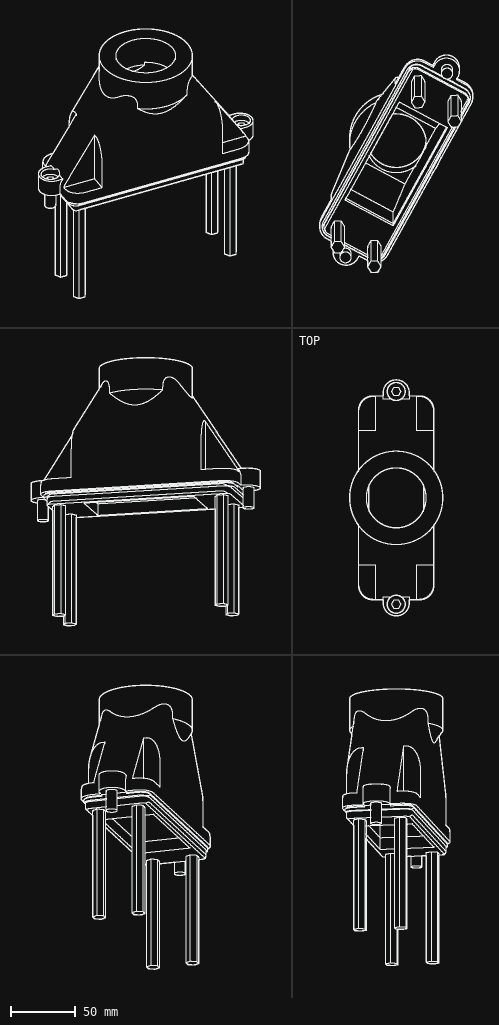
import cadquery as cq
import math

SIDES = (-1, 1)

total_height = 195.0
collar_base_z = 170.0
cavity_roof_z = 172.5
ledge_z = 105.1
lug_top_z = 108.8
housing_base_z = 95.4
bead_widest_z = 93.5
bead_base_z = 91.8
frame_base_z = 86.2
screw_tip_z = 79.5

overall_length = 182.0

housing_half_x = 29.0
housing_half_y = 78.5
edge_radius = 11.1
collar_diameter = 72.0
bore_radius = 23.0
neck_taper = 0.65
wall = 8.0
pocket_inner_x = 15.8
pocket_inner_y = 51.7

lug_radius = 10.1
screw_y = 81.9
screw_head_radius = 6.8
counterbore_radius = 7.0
screw_shank_radius = 4.3
screw_head_recess = 4.9
screw_head_height = 4.9
hex_socket_width = 6.2
hex_socket_depth = 3.0

bead_half_x = 27.1
bead_half_y = 75.9
bead_corner_radius = 8.4
bead_top_chamfer = 1.2
spigot_half_x = 26.0
spigot_half_y = 73.1
spigot_corner_radius = 5.8
spigot_chamfer = 1.8

rod_width = 9.0
rod_x = 16.0
rod_y = 64.7

collar_radius = collar_diameter / 2
lug_center_y = overall_length / 2 - lug_radius
end_slope = (housing_half_y - collar_radius) / (collar_base_z - ledge_z)
slope_wall_y = wall * math.hypot(1, end_slope)
cavity_half_x = housing_half_x - wall
cavity_half_y = pocket_inner_y - wall
screw_head_top_z = lug_top_z - screw_head_recess
screw_seat_z = screw_head_top_z - screw_head_height


def end_face_y(z):
    """Distance of the sloping end face from the middle plane at height z."""
    return housing_half_y - end_slope * (z - ledge_z)


def block(half_x, half_y, bottom_z, top_z):
    """Block centred on the Z axis."""
    return (
        cq.Workplane("XY")
        .workplane(offset=bottom_z)
        .rect(2 * half_x, 2 * half_y)
        .extrude(top_z - bottom_z)
    )


def cylinder(radius, bottom_z, top_z, y=0):
    """Upright cylinder on the plane x = 0."""
    return (
        cq.Workplane("XY")
        .workplane(offset=bottom_z)
        .center(0, y)
        .circle(radius)
        .extrude(top_z - bottom_z)
    )


def hex_prism(flat_width, bottom_z, top_z, x=0, y=0, turn=0):
    """Upright hexagonal prism; turned by 90 degrees, its flats face X."""
    corner_diameter = flat_width / math.cos(math.pi / 6)
    return (
        cq.Workplane("XY")
        .polygon(6, corner_diameter)
        .extrude(top_z - bottom_z)
        .rotate((0, 0, 0), (0, 0, 1), turn)
        .translate((x, y, bottom_z))
    )


def neck_cone(top_radius, bottom_radius):
    """Cone that narrows downwards from the underside of the collar."""
    bottom_z = collar_base_z - (top_radius - bottom_radius) / neck_taper
    return (
        cq.Workplane("XZ")
        .moveTo(0, collar_base_z)
        .lineTo(top_radius, collar_base_z)
        .lineTo(bottom_radius, bottom_z)
        .lineTo(0, bottom_z)
        .close()
        .revolve(360, (0, 0, 0), (0, 1, 0))
    )


def make_hood():
    """Tapered outer shape with all its side and end edges rounded."""
    top_y = end_face_y(total_height)
    rounded_edges = cq.selectors.BoxSelector(
        (-housing_half_x - 2, -housing_half_y - 2, housing_base_z + 2),
        (housing_half_x + 2, housing_half_y + 2, total_height - 2),
    )
    return (
        cq.Workplane("YZ")
        .polyline([
            (-housing_half_y, housing_base_z),
            (housing_half_y, housing_base_z),
            (housing_half_y, ledge_z),
            (top_y, total_height),
            (-top_y, total_height),
            (-housing_half_y, ledge_z),
        ])
        .close()
        .extrude(housing_half_x, both=True)
        .edges(rounded_edges)
        .fillet(edge_radius)
    )


def make_corner_pocket(side_x, side_y):
    """Space cut from a corner of the hood, down to its ledge."""
    length_x = housing_half_x
    length_y = housing_half_y - pocket_inner_y + 2
    height = total_height - ledge_z
    return cq.Workplane("XY").box(length_x, length_y, height).translate((
        side_x * (pocket_inner_x + length_x / 2),
        side_y * (pocket_inner_y + length_y / 2),
        ledge_z + height / 2,
    ))


def make_cavity():
    """Hollow under the collar, open at the bottom and following the sloping ends."""
    roof_y = end_face_y(cavity_roof_z) - slope_wall_y
    shoulder_z = cavity_roof_z - (cavity_half_y - roof_y) / end_slope
    return (
        cq.Workplane("YZ")
        .polyline([
            (-cavity_half_y, housing_base_z),
            (cavity_half_y, housing_base_z),
            (cavity_half_y, shoulder_z),
            (roof_y, cavity_roof_z),
            (-roof_y, cavity_roof_z),
            (-cavity_half_y, shoulder_z),
        ])
        .close()
        .extrude(cavity_half_x, both=True)
    )


def make_lug(side_y):
    """Screw lug with a round outer end, reaching into the sloping end face."""
    inner_y = end_face_y(lug_top_z)
    length_y = lug_center_y - inner_y
    bar = (
        block(lug_radius, length_y / 2, housing_base_z, lug_top_z)
        .translate((0, side_y * (inner_y + length_y / 2), 0))
    )
    return bar.union(cylinder(lug_radius, housing_base_z, lug_top_z, side_y * lug_center_y))


def make_housing():
    housing = make_hood()
    for side_x in SIDES:
        for side_y in SIDES:
            housing = housing.cut(make_corner_pocket(side_x, side_y))
    housing = (
        housing
        .union(cylinder(collar_radius, collar_base_z, total_height))
        .union(neck_cone(collar_radius, bore_radius))
        .cut(make_cavity())
        .cut(cylinder(bore_radius, collar_base_z, total_height))
        .cut(neck_cone(bore_radius, cavity_half_x))
    )
    for side_y in SIDES:
        housing = (
            housing
            .union(make_lug(side_y))
            .cut(cylinder(counterbore_radius, screw_seat_z, total_height, side_y * screw_y))
            .cut(cylinder(screw_shank_radius, housing_base_z, screw_seat_z, side_y * screw_y))
        )
    return housing


def make_base_frame():
    """Bead and spigot that close the underside of the housing around its cavity."""
    bead = (
        block(bead_half_x, bead_half_y, bead_base_z, housing_base_z)
        .edges("|Z")
        .fillet(bead_corner_radius)
        .faces(">Z")
        .edges()
        .chamfer(bead_top_chamfer)
    )
    spigot = (
        block(spigot_half_x, spigot_half_y, frame_base_z, bead_base_z)
        .edges("|Z")
        .fillet(spigot_corner_radius)
    )
    right_side = [
        (spigot_half_x - spigot_chamfer, frame_base_z),
        (spigot_half_x, frame_base_z + spigot_chamfer),
        (spigot_half_x, bead_base_z),
        (bead_half_x, bead_widest_z),
        (bead_half_x, housing_base_z),
    ]
    left_side = [(-x, z) for x, z in reversed(right_side)]
    cross_section = (
        cq.Workplane("XZ")
        .polyline(right_side + left_side)
        .close()
        .extrude(bead_half_y, both=True)
    )
    lug_flat = block(lug_radius, bead_half_y, bead_widest_z, housing_base_z)
    opening = block(cavity_half_x, cavity_half_y, frame_base_z, housing_base_z)
    return bead.union(spigot).intersect(cross_section).union(lug_flat).cut(opening)


def make_screw(y):
    """Cap screw with a hexagon socket, seated in a lug."""
    socket_floor_z = screw_head_top_z - hex_socket_depth
    return (
        cylinder(screw_head_radius, screw_seat_z, screw_head_top_z, y)
        .union(cylinder(screw_shank_radius, screw_tip_z, screw_seat_z, y))
        .cut(hex_prism(hex_socket_width, socket_floor_z, screw_head_top_z, y=y))
    )


def make_rod(x, y):
    """Hexagonal rod standing under the base frame."""
    return hex_prism(rod_width, 0, frame_base_z, x, y, turn=90)


housing = make_housing()
base_frame = make_base_frame()
screws = [make_screw(side_y * screw_y) for side_y in SIDES]
rods = []
for side_x in SIDES:
    for side_y in SIDES:
        rods.append(make_rod(side_x * rod_x, side_y * rod_y))

result = cq.Compound.makeCompound([
    housing.val(),
    base_frame.val(),
    *[screw.val() for screw in screws],
    *[rod.val() for rod in rods],
])